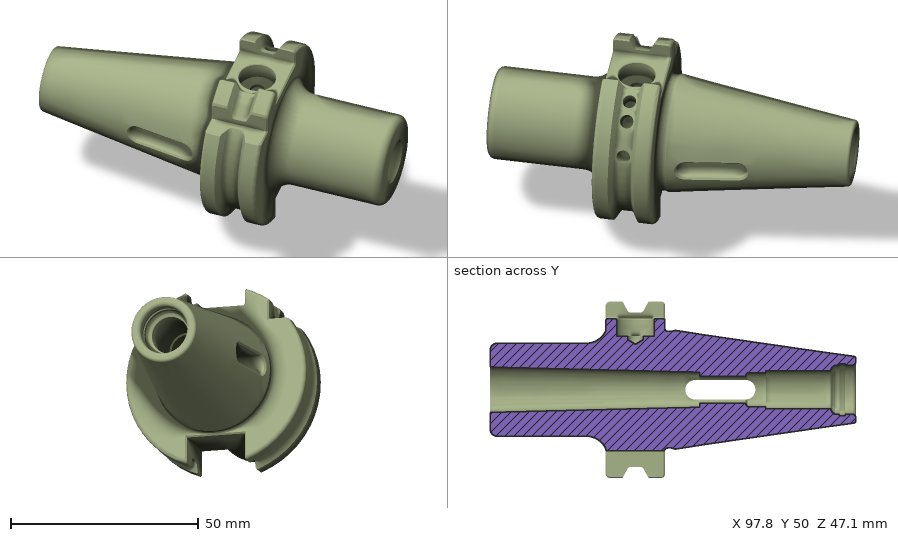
import cadquery as cq
import math


TAPER_SLOPE = 7 / 24 / 2
GAUGE_RADIUS = 31.75 / 2
SHANK_LENGTH = 47.8
SHANK_END_FILLET = 0.8
TAPER_RUNOUT = 0.5
RELIEF_START = 1.5
RELIEF_RADIUS = 15.65
RELIEF_FILLET = 0.6

FLANGE_RADIUS = 25.0
FLANGE_START = 3.2
FLANGE_END = 19.1
FLANGE_RIM_FILLET = 1.0
GROOVE_CENTER = 11.1
GROOVE_BOTTOM_RADIUS = 44.3 / 2
GROOVE_BOTTOM_WIDTH = 3.75
GROOVE_HALF_ANGLE = 30.0
GROOVE_FILLET = 1.0

NOSE_RADIUS = 12.5
NOSE_END = 50.0
NOSE_END_FILLET = 2.0
NECK_FILLET = 5.6
NECK_END = 24.2

SLOT_HALF_WIDTH = 16.1 / 2
UPPER_SLOT_FLOOR = 19.0
LOWER_SLOT_FLOOR = 16.4
SLOT_FLOOR_FILLET = 0.5
NOTCH_OFFSET = 14.8
EDGE_CHAMFER = 0.4

POCKET_RADIUS = 5.0
POCKET_DEPTH = 4.6
POCKET_CHAMFER = 0.2
PILOT_RADIUS = 2.0
PILOT_DEPTH = 1.0
DRILL_HALF_ANGLE = 59.0

BALANCE_ANGLES = (30.8, 45.0, 70.0)
BALANCE_RADIUS = 3.6 / 2
BALANCE_DEPTH = 5.0

TANG_WIDTH = 5.2
TANG_START = -20.9
TANG_END = -2.2
TANG_CHAMFER = 0.5

STUD_BORE_RADIUS = 13 / 2
STUD_BORE_DEPTH = 5.6
STUD_MOUTH_FILLET = 1.0
STUD_GROOVE_RADIUS = 6.9
STUD_GROOVE_START = 2.9
STUD_GROOVE_END = 4.4
THREAD_RADIUS = 10.1 / 2
THREAD_DEPTH = 24.0
THREAD_MOUTH_RADIUS = 12 / 2
THREAD_MOUTH_DEPTH = 6.3
THREAD_MOUTH_HALF_ANGLE = 60.0
DRAW_HOLE_RADIUS = 4.5
DRAW_HOLE_DEPTH = 29.0
LINK_RADIUS = 3.5

SOCKET_MOUTH_RADIUS = 12.065 / 2
SOCKET_SLOPE = 1 / 20.047 / 2
SOCKET_DEPTH = 56.0

SMALL_END = -SHANK_LENGTH
SMALL_RADIUS = GAUGE_RADIUS - TAPER_SLOPE * SHANK_LENGTH
OVERSIZE = 40.0
GROOVE_CLEARANCE = 1.0
TOLERANCE = 0.01


def revolve_about_x(profile):
    return profile.close().revolve(360, (0, 0, 0), (1, 0, 0))


def circle_edges(body, x, radius):
    """Edges of full or split circles around the axis at the given position."""
    low = (x - TOLERANCE, -radius - TOLERANCE, -radius - TOLERANCE)
    high = (x + TOLERANCE, radius + TOLERANCE, radius + TOLERANCE)
    inner = radius - 2 * TOLERANCE
    return [
        edge
        for edge in body.edges(cq.selectors.BoxSelector(low, high, boundingbox=True)).vals()
        if math.hypot(edge.startPoint().y, edge.startPoint().z) > inner
    ]


def fillet_circle(body, x, radius, size):
    return body.newObject(circle_edges(body, x, radius)).fillet(size)


def make_blank():
    """Turned outside: taper, relief, flange and nose."""
    neck_center_radius = NOSE_RADIUS + NECK_FILLET
    neck_length = NECK_END - FLANGE_END
    neck_start_radius = neck_center_radius - math.sqrt(NECK_FILLET**2 - neck_length**2)
    middle_angle = math.asin(neck_length / NECK_FILLET) / 2
    neck_middle = (
        NECK_END - NECK_FILLET * math.sin(middle_angle),
        neck_center_radius - NECK_FILLET * math.cos(middle_angle),
    )
    profile = (
        cq.Workplane("XY")
        .moveTo(SMALL_END, 0)
        .lineTo(SMALL_END, SMALL_RADIUS)
        .lineTo(TAPER_RUNOUT, GAUGE_RADIUS + TAPER_SLOPE * TAPER_RUNOUT)
        .lineTo(RELIEF_START, RELIEF_RADIUS)
        .lineTo(FLANGE_START, RELIEF_RADIUS)
        .lineTo(FLANGE_START, FLANGE_RADIUS)
        .lineTo(FLANGE_END, FLANGE_RADIUS)
        .lineTo(FLANGE_END, neck_start_radius)
        .threePointArc(neck_middle, (NECK_END, NOSE_RADIUS))
        .lineTo(NOSE_END, NOSE_RADIUS)
        .lineTo(NOSE_END, 0)
    )
    blank = revolve_about_x(profile)
    for x, radius, size in (
        (SMALL_END, SMALL_RADIUS, SHANK_END_FILLET),
        (FLANGE_START, RELIEF_RADIUS, RELIEF_FILLET),
        (FLANGE_START, FLANGE_RADIUS, FLANGE_RIM_FILLET),
        (FLANGE_END, FLANGE_RADIUS, FLANGE_RIM_FILLET),
        (NOSE_END, NOSE_RADIUS, NOSE_END_FILLET),
    ):
        blank = fillet_circle(blank, x, radius, size)
    return blank


def make_flange_cutters():
    """Upper drive slot, lower drive slot and corner notch."""
    length = FLANGE_END - FLANGE_START
    width = 2 * SLOT_HALF_WIDTH
    center = (FLANGE_START + FLANGE_END) / 2
    block = cq.Workplane("XY").box(length, width, OVERSIZE, centered=(True, True, False))
    upper = block.translate((center, 0, UPPER_SLOT_FLOOR)).edges("|X and <Z").fillet(SLOT_FLOOR_FILLET)
    lower = block.translate((center, 0, -LOWER_SLOT_FLOOR - OVERSIZE))
    notch = (
        cq.Workplane("XY")
        .box(length, OVERSIZE, OVERSIZE, centered=(True, False, False))
        .translate((center, -NOTCH_OFFSET - OVERSIZE, NOTCH_OFFSET))
    )
    return upper, lower, notch


def cut_flange(body):
    for cutter in make_flange_cutters():
        body = body.cut(cutter)
    return body


def chamfer_flange_cuts(body):
    """Break the edges where the slots and the notch meet the flange faces and rim."""

    def on_cut(point):
        on_slot_wall = abs(abs(point.y) - SLOT_HALF_WIDTH) < TOLERANCE
        on_floor = min(abs(point.z - UPPER_SLOT_FLOOR), abs(point.z + LOWER_SLOT_FLOOR)) < TOLERANCE
        on_notch = (
            abs(point.y + NOTCH_OFFSET) < TOLERANCE or abs(point.z - NOTCH_OFFSET) < TOLERANCE
        ) and point.y < 0
        return on_slot_wall or on_floor or on_notch

    def is_cut_edge(edge):
        middle = edge.positionAt(0.5)
        on_face = min(abs(middle.x - FLANGE_START), abs(middle.x - FLANGE_END)) < TOLERANCE
        on_rim = abs(math.hypot(middle.y, middle.z) - FLANGE_RADIUS) < TOLERANCE
        return edge.geomType() == "LINE" and on_cut(middle) and (on_face or on_rim)

    edges = [edge for edge in body.edges().vals() if is_cut_edge(edge)]
    return body.newObject(edges).chamfer(EDGE_CHAMFER)


def cut_groove(body):
    """V-groove around the flange with rounded bottom corners."""
    half_bottom = GROOVE_BOTTOM_WIDTH / 2
    top = FLANGE_RADIUS + GROOVE_CLEARANCE
    rise = top - GROOVE_BOTTOM_RADIUS
    half_top = half_bottom + rise * math.tan(math.radians(GROOVE_HALF_ANGLE))
    ring = revolve_about_x(
        cq.Workplane("XY")
        .moveTo(GROOVE_CENTER - half_bottom, GROOVE_BOTTOM_RADIUS)
        .lineTo(GROOVE_CENTER - half_top, top)
        .lineTo(GROOVE_CENTER + half_top, top)
        .lineTo(GROOVE_CENTER + half_bottom, GROOVE_BOTTOM_RADIUS)
    )
    for side in (-half_bottom, half_bottom):
        ring = fillet_circle(ring, GROOVE_CENTER + side, GROOVE_BOTTOM_RADIUS, GROOVE_FILLET)
    return body.cut(ring)


def drill(radius, depth):
    """Drill along -Z from the origin, ending in a cone."""
    tip = radius / math.tan(math.radians(DRILL_HALF_ANGLE))
    return (
        cq.Workplane("XZ")
        .lineTo(radius, 0)
        .lineTo(radius, -depth)
        .lineTo(0, -depth - tip)
        .close()
        .revolve(360, (0, 0, 0), (0, 1, 0))
    )


def cut_chip_pocket(body):
    """Flat-bottomed pocket with a shallow pilot hole in the upper slot floor."""
    pocket = (
        cq.Workplane("XY")
        .circle(POCKET_RADIUS)
        .extrude(-POCKET_DEPTH)
        .union(cq.Workplane("XY").circle(POCKET_RADIUS + POCKET_CHAMFER).extrude(-POCKET_CHAMFER, taper=45))
        .union(drill(PILOT_RADIUS, PILOT_DEPTH).translate((0, 0, -POCKET_DEPTH)))
    )
    return body.cut(pocket.translate((GROOVE_CENTER, 0, UPPER_SLOT_FLOOR)))


def cut_balance_holes(body):
    """Radial holes that go BALANCE_DEPTH below the groove bottom."""
    hole = drill(BALANCE_RADIUS, FLANGE_RADIUS - GROOVE_BOTTOM_RADIUS + BALANCE_DEPTH)
    hole = hole.translate((GROOVE_CENTER, 0, FLANGE_RADIUS))
    for angle in BALANCE_ANGLES:
        body = body.cut(hole.rotate((0, 0, 0), (1, 0, 0), -angle))
    return body


def cut_tang_slot(body):
    """Round-ended slot along Y through the shank, chamfered at both mouths."""
    length = TANG_END - TANG_START
    slot = (
        cq.Workplane("XZ")
        .center((TANG_START + TANG_END) / 2, 0)
        .slot2D(length, TANG_WIDTH)
        .extrude(OVERSIZE / 2, both=True)
    )
    body = body.cut(slot)
    mouth_box = cq.selectors.BoxSelector(
        (TANG_START - TANG_CHAMFER, -GAUGE_RADIUS, -TANG_WIDTH),
        (TANG_END + TANG_CHAMFER, GAUGE_RADIUS, TANG_WIDTH),
        boundingbox=True,
    )
    mouth_edges = [
        edge
        for edge in body.edges(mouth_box).vals()
        if edge.startPoint().y * edge.endPoint().y > 0
    ]
    return body.newObject(mouth_edges).chamfer(TANG_CHAMFER)


def cut_bores(body):
    """Pull-stud bore, draw hole, link bore and Morse socket, all on the axis."""
    socket_end = NOSE_END - SOCKET_DEPTH
    mouth_cone = (THREAD_MOUTH_RADIUS - THREAD_RADIUS) / math.tan(math.radians(THREAD_MOUTH_HALF_ANGLE))
    drill_cone = (DRAW_HOLE_RADIUS - LINK_RADIUS) / math.tan(math.radians(DRILL_HALF_ANGLE))
    bore = revolve_about_x(
        cq.Workplane("XY")
        .moveTo(SMALL_END, 0)
        .lineTo(SMALL_END, STUD_BORE_RADIUS + STUD_MOUTH_FILLET)
        .radiusArc((SMALL_END + STUD_MOUTH_FILLET, STUD_BORE_RADIUS), -STUD_MOUTH_FILLET)
        .lineTo(SMALL_END + STUD_GROOVE_START, STUD_BORE_RADIUS)
        .lineTo(SMALL_END + STUD_GROOVE_START, STUD_GROOVE_RADIUS)
        .lineTo(SMALL_END + STUD_GROOVE_END, STUD_GROOVE_RADIUS)
        .lineTo(SMALL_END + STUD_GROOVE_END, STUD_BORE_RADIUS)
        .lineTo(SMALL_END + STUD_BORE_DEPTH, STUD_BORE_RADIUS)
        .lineTo(SMALL_END + THREAD_MOUTH_DEPTH, THREAD_MOUTH_RADIUS)
        .lineTo(SMALL_END + THREAD_MOUTH_DEPTH + mouth_cone, THREAD_RADIUS)
        .lineTo(SMALL_END + THREAD_DEPTH, THREAD_RADIUS)
        .lineTo(SMALL_END + THREAD_DEPTH, DRAW_HOLE_RADIUS)
        .lineTo(SMALL_END + DRAW_HOLE_DEPTH, DRAW_HOLE_RADIUS)
        .lineTo(SMALL_END + DRAW_HOLE_DEPTH + drill_cone, LINK_RADIUS)
        .lineTo(socket_end, LINK_RADIUS)
        .lineTo(socket_end, SOCKET_MOUTH_RADIUS - SOCKET_SLOPE * SOCKET_DEPTH)
        .lineTo(NOSE_END, SOCKET_MOUTH_RADIUS)
        .lineTo(NOSE_END, 0)
    )
    return body.cut(bore)


result = make_blank()
result = cut_groove(result)
result = cut_flange(result)
result = chamfer_flange_cuts(result)
result = cut_chip_pocket(result)
result = cut_balance_holes(result)
result = cut_tang_slot(result)
result = cut_bores(result)